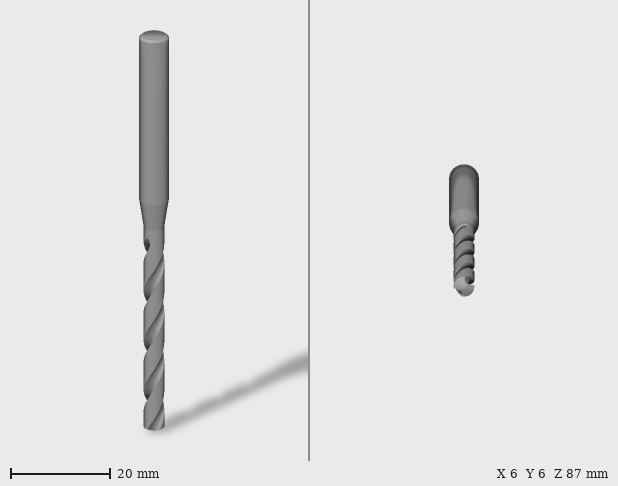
import cadquery as cq
import math

total_length = 87.0
shank_bottom = 51.0
taper_bottom = 45.0
flute_end = 40.8
body_joint = 34.8
point_height = 1.0

shank_diameter = 6.0
drill_diameter = 4.2
shank_chamfer = 0.4

flute_count = 2
flute_pitch = 21.75
flute_start_angle = 93.6
flute_center_radius = 2.35
flute_radius = 1.4
runout_rise = 3.9
runout_outward = 1.4

shank_radius = shank_diameter / 2
drill_radius = drill_diameter / 2
blank_radius = 1.5 * drill_radius


def revolve_profile(points):
    """Revolve a closed (radius, height) outline about Z."""
    return cq.Workplane("XZ").polyline(points).close().revolve(360, (0, 0), (0, 1))


def flute_angles(height):
    """Directions of the flutes, in degrees, at a height."""
    twist = 360 * height / flute_pitch
    return [flute_start_angle + twist + i * 360 / flute_count for i in range(flute_count)]


def twisted_blank(bottom, top):
    """Twisted rod wider than the drill, with one round notch per flute."""
    section = cq.Sketch().circle(blank_radius)
    for angle in flute_angles(bottom):
        notch = cq.Sketch().push([cq.Vector(flute_center_radius, 0)]).circle(flute_radius)
        section = section.face(notch.moved(cq.Location((0, 0, 0), (0, 0, 1), angle)), mode="s")
    blank = cq.Workplane("XY", origin=(0, 0, bottom)).placeSketch(section)
    return blank.twistExtrude(top - bottom, 360 * (top - bottom) / flute_pitch)


def runout_cutter(angle):
    """Straight continuation of a flute along its helix tangent, leaning out of the neck."""
    turn = math.radians(angle)
    sideways = 2 * math.pi * flute_center_radius * runout_rise / flute_pitch
    direction = cq.Vector(
        runout_outward * math.cos(turn) - sideways * math.sin(turn),
        runout_outward * math.sin(turn) + sideways * math.cos(turn),
        runout_rise,
    )
    center = cq.Vector(
        flute_center_radius * math.cos(turn), flute_center_radius * math.sin(turn), flute_end
    )
    circle = cq.Wire.makeCircle(flute_radius, center, cq.Vector(0, 0, 1))
    return cq.Workplane(obj=cq.Solid.extrudeLinear(circle, [], direction))


def make_shank():
    """Chamfered grip, taper and neck, with the flutes running out in the neck."""
    shank = revolve_profile([
        (0, flute_end),
        (drill_radius, flute_end),
        (drill_radius, taper_bottom),
        (shank_radius, shank_bottom),
        (shank_radius, total_length - shank_chamfer),
        (shank_radius - shank_chamfer, total_length),
        (0, total_length),
    ])
    for angle in flute_angles(flute_end):
        shank = shank.cut(runout_cutter(angle))
    fluted_neck = revolve_profile([
        (0, body_joint),
        (drill_radius, body_joint),
        (drill_radius, flute_end),
        (0, flute_end),
    ]).intersect(twisted_blank(body_joint, flute_end))
    return shank.union(fluted_neck).clean()


def make_cutting_tip():
    """Fluted cylinder with a conical point at its lower end."""
    stem = revolve_profile([
        (0, 0),
        (drill_radius, point_height),
        (drill_radius, body_joint),
        (0, body_joint),
    ])
    return stem.intersect(twisted_blank(0, body_joint))


shank = make_shank()
cutting_tip = make_cutting_tip()

result = cq.Compound.makeCompound([shank.val(), cutting_tip.val()])